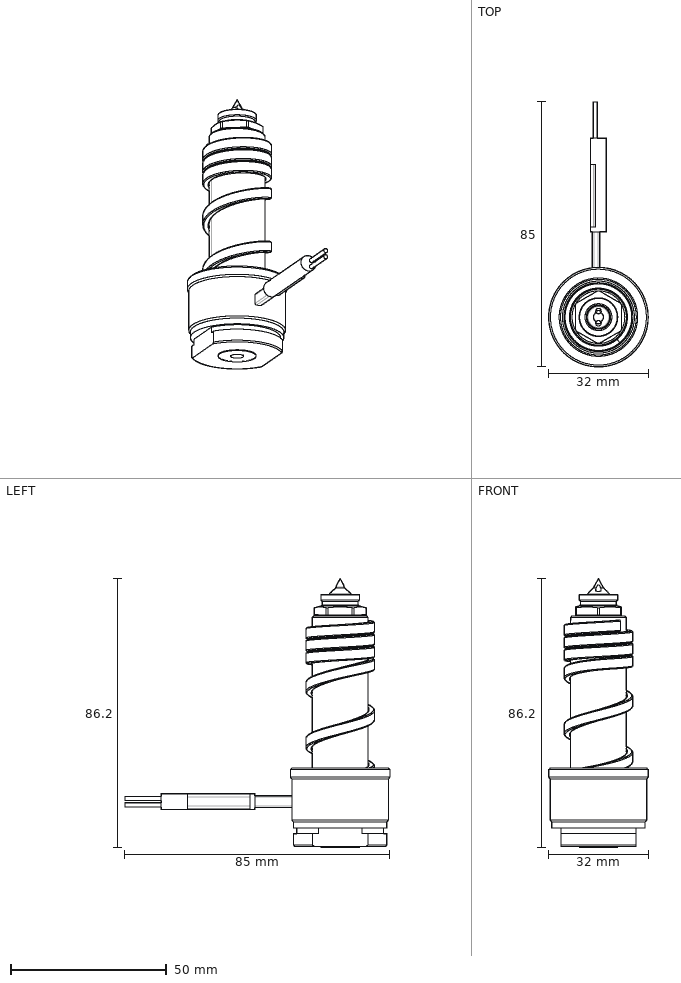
import cadquery as cq
import math

total_height = 86.2
total_length_y = 85.0

collar_radius = 15.5
collar_top_z = 25.5
collar_bottom_z = 8.1
collar_edge_chamfer = 0.6
rim_diameter = 32.0
rim_radius = rim_diameter / 2
rim_bottom_z = 21.9
foot_radius = 15.0
foot_neck_radius = 14.0
foot_neck_bottom_z = 4.4
foot_neck_top_z = 6.2
foot_chamfer = 0.4
inlet_radius = 6.1
inlet_height = 0.3
flat_distance = 12.1
pocket_radius = 12.15
pocket_ledge_radius = 11.55
pocket_ledge_z = 19.0
pocket_floor_z = 17.2
pocket_chamfer = 0.4

shaft_radius = 9.0
shaft_top_z = 74.2
shaft_chamfer = 0.5
nozzle_groove_radius = 7.0
hex_bottom_z = 74.6
hex_top_z = 76.8
hex_flat_distance = 7.4
hex_corner_radius = 8.4
nozzle_foot_radius = 6.1
nozzle_foot_z = 77.4
nozzle_neck_radius = 5.8
nozzle_neck_bottom_z = 77.75
nozzle_ring_radius = 6.2
nozzle_ring_bottom_z = 78.9
nozzle_ring_top_z = 81.1
ring_top_chamfer = 0.2
ring_undercut_height = 0.35
gate_well_radius = 3.9
gate_well_floor_z = 80.2
gate_well_chamfer = 0.4

needle_base_radius = 3.6
needle_base_z = 81.0
needle_shoulder_radius = 3.4
needle_shoulder_z = 81.5
needle_step_radius = 1.6
needle_step_z = 83.2
needle_point_base_radius = 1.5
needle_point_base_z = 83.5
channel_radius = 2.1
channel_top_z = 79.3
outlet_radius = 0.9
outlet_offset = 2.0
outlet_bottom_z = 78.4

coil_outer_radius = 11.0
coil_height = 3.6
coil_chamfer = 0.35
coil_embed = 0.4
coil_start_angle = -50.0
coil_start_z = 71.0
tight_pitch = 4.0
open_pitch = 17.9
upper_tight_turn = 1098.0
pitch_change_turn = 128.0
open_turn = 576.0
lower_tight_turn = 270.0
coil_point_step = 15.0

cable_z = 14.65
cable_x = -0.8
cable_width = 2.4
cable_height = 3.9
cable_edge_radius = 0.5
cable_start_y = 12.9
sleeve_radius = 2.6
sleeve_start_y = 27.3
sleeve_end_y = 57.4
bar_start_y = 28.9
bar_end_y = 48.9
bar_width = 2.4
bar_height = 4.8
bar_edge_radius = 0.95
wire_x = -1.0
wire_radius = 0.7
wire_spacing = 2.1
wire_end_y = total_length_y - rim_radius


def revolve(points):
    """Turn a closed (radius, z) outline about the Z axis."""
    return cq.Workplane("XZ").polyline(points).close().revolve(360, (0, 0, 0), (0, 1, 0))


def cylinder(radius, bottom_z, top_z, y=0):
    return cq.Workplane("XY", origin=(0, y, bottom_z)).circle(radius).extrude(top_z - bottom_z)


def along_y(x, z, start_y):
    """Sketch plane facing +Y, so that a positive extrusion grows in +Y."""
    return cq.Workplane(cq.Plane(origin=(x, start_y, z), xDir=(-1, 0, 0), normal=(0, 1, 0)))


def make_base():
    """Collar with its rim and open pocket, and the foot with two wrench flats."""
    c = collar_edge_chamfer
    body = revolve([
        (0, inlet_height),
        (foot_radius - foot_chamfer, inlet_height),
        (foot_radius, inlet_height + foot_chamfer),
        (foot_radius, foot_neck_bottom_z),
        (foot_neck_radius, foot_neck_bottom_z),
        (foot_neck_radius, foot_neck_top_z),
        (foot_radius, foot_neck_top_z),
        (foot_radius, collar_bottom_z),
        (collar_radius, collar_bottom_z + c),
        (collar_radius, rim_bottom_z),
        (rim_radius, rim_bottom_z + c),
        (rim_radius, collar_top_z - c),
        (rim_radius - c, collar_top_z),
        (pocket_radius + pocket_chamfer, collar_top_z),
        (pocket_radius, collar_top_z - pocket_chamfer),
        (pocket_radius, pocket_ledge_z),
        (pocket_ledge_radius, pocket_ledge_z),
        (pocket_ledge_radius, pocket_floor_z),
        (0, pocket_floor_z),
    ])
    waste_width = foot_radius - flat_distance
    waste = cq.Workplane("XY").box(
        waste_width, 2 * foot_radius, foot_neck_top_z, centered=(True, True, False)
    )
    for side in (-1, 1):
        body = body.cut(waste.translate((side * (flat_distance + waste_width / 2), 0, 0)))
    return body.union(cylinder(inlet_radius, 0, inlet_height))


def make_shaft():
    return cylinder(shaft_radius, pocket_floor_z, shaft_top_z).faces(">Z").edges().chamfer(shaft_chamfer)


def make_hexagon():
    """Wrench hexagon with a corner on the Y axis, its top sloping up to the foot of the nozzle."""
    corner_distance = 2 * hex_flat_distance / math.cos(math.pi / 6)
    prism = (
        cq.Workplane("XY", origin=(0, 0, hex_bottom_z))
        .transformed(rotate=(0, 0, 90))
        .polygon(6, corner_distance)
        .extrude(nozzle_foot_z - hex_bottom_z)
    )
    envelope = revolve([
        (0, hex_bottom_z),
        (hex_corner_radius, hex_bottom_z),
        (hex_corner_radius, hex_top_z),
        (nozzle_foot_radius, nozzle_foot_z),
        (0, nozzle_foot_z),
    ])
    return prism.intersect(envelope)


def make_nozzle():
    """Nozzle head above the hexagon, ending in a stepped needle inside an annular well."""
    head = revolve([
        (0, nozzle_foot_z),
        (nozzle_foot_radius, nozzle_foot_z),
        (nozzle_neck_radius, nozzle_neck_bottom_z),
        (nozzle_neck_radius, nozzle_ring_bottom_z),
        (nozzle_ring_radius, nozzle_ring_bottom_z + ring_undercut_height),
        (nozzle_ring_radius, nozzle_ring_top_z - ring_top_chamfer),
        (nozzle_ring_radius - ring_top_chamfer, nozzle_ring_top_z),
        (gate_well_radius + gate_well_chamfer, nozzle_ring_top_z),
        (gate_well_radius, nozzle_ring_top_z - gate_well_chamfer),
        (gate_well_radius, gate_well_floor_z),
        (needle_base_radius, gate_well_floor_z),
        (needle_base_radius, needle_base_z),
        (needle_shoulder_radius, needle_shoulder_z),
        (needle_step_radius, needle_step_z),
        (needle_point_base_radius, needle_point_base_z),
        (0, total_height),
    ])
    neck = cylinder(nozzle_groove_radius, shaft_top_z, hex_bottom_z)
    return neck.union(make_hexagon()).union(head)


def coil_drop(turn):
    """Distance the coil has descended after turning by the given degrees from its upper end."""
    stages = [
        (upper_tight_turn, tight_pitch, tight_pitch),
        (pitch_change_turn, tight_pitch, open_pitch),
        (open_turn, open_pitch, open_pitch),
        (pitch_change_turn, open_pitch, tight_pitch),
        (lower_tight_turn, tight_pitch, tight_pitch),
    ]
    drop = 0
    for length, first_pitch, last_pitch in stages:
        covered = min(max(turn, 0), length)
        pitch_here = first_pitch + (last_pitch - first_pitch) * covered / length
        drop += covered / 360 * (first_pitch + pitch_here) / 2
        turn -= length
    return drop


def coil_edge(radius, height):
    """Winding curve at a radius, lying the given height above the middle of the coil."""
    coil_turn = upper_tight_turn + open_turn + lower_tight_turn + 2 * pitch_change_turn
    point_count = math.ceil(coil_turn / coil_point_step)
    turns = [coil_turn * i / point_count for i in range(point_count + 1)]
    points = []
    for turn in turns:
        angle = math.radians(coil_start_angle - turn)
        z = coil_start_z - coil_drop(turn) + height
        points.append(cq.Vector(radius * math.cos(angle), radius * math.sin(angle), z))
    return cq.Edge.makeSpline(points, parameters=turns)


def make_coil():
    """Right-handed rib with chamfered edges and a pitch that opens and closes."""
    inner_radius = shaft_radius - coil_embed
    half = coil_height / 2
    groove_depth = coil_chamfer + coil_embed
    section = [
        (inner_radius, groove_depth - half),
        (shaft_radius + coil_chamfer, -half),
        (coil_outer_radius - coil_chamfer, -half),
        (coil_outer_radius, coil_chamfer - half),
        (coil_outer_radius, half - coil_chamfer),
        (coil_outer_radius - coil_chamfer, half),
        (shaft_radius + coil_chamfer, half),
        (inner_radius, half - groove_depth),
    ]
    edges = [coil_edge(radius, height) for radius, height in section]
    neighbours = edges[1:] + edges[:1]
    faces = [cq.Face.makeRuledSurface(edge, other) for edge, other in zip(edges, neighbours)]
    for end in (0, 1):
        corners = [edge.positionAt(end) for edge in edges]
        faces.append(cq.Face.makeFromWires(cq.Wire.makePolygon(corners, close=True)))
    return cq.Workplane(cq.Solid.makeSolid(cq.Shell.makeShell(faces)))


def make_cable():
    """Flat cable leaving the collar in +Y, a sleeve with a flat bar, and two wires."""
    cable = (
        along_y(cable_x, cable_z, cable_start_y)
        .rect(cable_width, cable_height)
        .extrude(sleeve_end_y - cable_start_y)
        .edges("|Y")
        .fillet(cable_edge_radius)
    )
    sleeve = along_y(0, cable_z, sleeve_start_y).circle(sleeve_radius).extrude(sleeve_end_y - sleeve_start_y)
    bar = (
        along_y(bar_width / 2 - sleeve_radius, cable_z, bar_start_y)
        .rect(bar_width, bar_height)
        .extrude(bar_end_y - bar_start_y)
        .edges("|Y")
        .fillet(bar_edge_radius)
    )
    wires = (
        along_y(wire_x, cable_z, sleeve_end_y)
        .pushPoints([(0, -wire_spacing / 2), (0, wire_spacing / 2)])
        .circle(wire_radius)
        .extrude(wire_end_y - sleeve_end_y)
    )
    return cable.union(sleeve).union(bar).union(wires)


def cut_melt_channel(body):
    """Bore up the axis and two outlets beside the needle point."""
    body = body.cut(cylinder(channel_radius, 0, channel_top_z))
    for y in (-outlet_offset, outlet_offset):
        body = body.cut(cylinder(outlet_radius, outlet_bottom_z, total_height, y=y))
    return body


core = make_base().union(make_shaft()).union(make_nozzle())
core = cut_melt_channel(core)
result = core.union(make_coil()).union(make_cable())